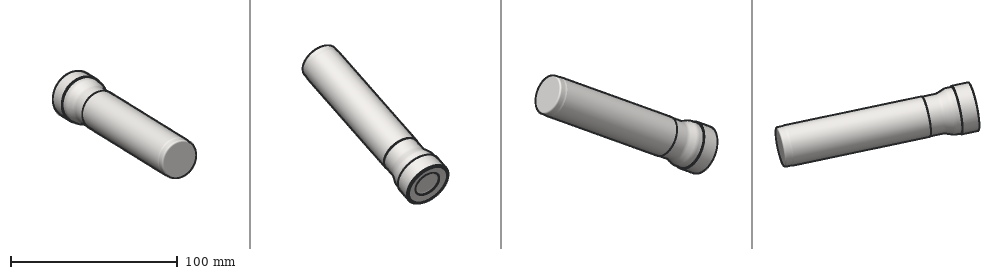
import cadquery as cq
import math

TOTAL_LENGTH = 120.0

INSERT_RADIUS = 30.0 / 2
INSERT_LENGTH = 10.8
EDGE_CHAMFER = 0.4

LAND_INNER_RADIUS = 13.5
STEEP_INNER_RADIUS = 12.8
STEEP_DEPTH = 0.2
LIP_OUTER_RADIUS = 10.0
CONE_DEPTH = 0.2
LIP_INNER_RADIUS = 8.6
LIP_DEPTH = 0.2
WALL_DEPTH = 0.4
CUP_RADIUS = 8.3
CUP_CONE_INNER_RADIUS = 7.4
CUP_FLOOR_RADIUS = 6.7
CUP_ANGLE = math.radians(25)

HEAD_RADIUS = 28.8 / 2
NECK_RADIUS = 24.5 / 2
SHANK_RADIUS = 25.0 / 2
HEAD_END = 13.9
NECK_START = 21.5
BLEND_LENGTH = 1.8
TAPER_ANGLE = math.radians(20.6)
SHANK_START = 29.4
SHANK_FRONT_BEVEL = 0.4
SHANK_END = 114.8
REAR_BEVEL_LENGTH = 1.1
END_ROUND = 1.1


def revolve_about_x(profile):
    """Turn a closed (X, radius) profile into a solid around the X axis."""
    return profile.close().revolve(360, (0, 0, 0), (1, 0, 0))


def make_insert():
    """Disc with bevelled rims and a dished front face."""
    cone_start = STEEP_DEPTH
    lip_start = cone_start + CONE_DEPTH
    wall_start = lip_start + LIP_DEPTH
    cup_start = wall_start + WALL_DEPTH
    floor_round_start = cup_start + (CUP_RADIUS - CUP_CONE_INNER_RADIUS) * math.tan(CUP_ANGLE)
    floor_round_width = CUP_CONE_INNER_RADIUS - CUP_FLOOR_RADIUS
    floor_depth = floor_round_start + floor_round_width * math.tan(CUP_ANGLE / 2)
    cone_direction = (CONE_DEPTH, LIP_OUTER_RADIUS - STEEP_INNER_RADIUS)
    lip_end_direction = (1, -2)
    cup_direction = (math.sin(CUP_ANGLE), -math.cos(CUP_ANGLE))

    profile = (
        cq.Workplane("XY")
        .moveTo(INSERT_LENGTH, 0)
        .lineTo(INSERT_LENGTH, INSERT_RADIUS - EDGE_CHAMFER)
        .lineTo(INSERT_LENGTH - EDGE_CHAMFER, INSERT_RADIUS)
        .lineTo(EDGE_CHAMFER, INSERT_RADIUS)
        .lineTo(0, INSERT_RADIUS - EDGE_CHAMFER)
        .lineTo(0, LAND_INNER_RADIUS)
        .lineTo(cone_start, STEEP_INNER_RADIUS)
        .lineTo(lip_start, LIP_OUTER_RADIUS)
        .spline(
            [(wall_start, LIP_INNER_RADIUS)],
            tangents=[cone_direction, lip_end_direction],
            includeCurrent=True,
        )
        .lineTo(cup_start, CUP_RADIUS)
        .lineTo(floor_round_start, CUP_CONE_INNER_RADIUS)
        .spline([(floor_depth, CUP_FLOOR_RADIUS)], tangents=[cup_direction, (0, -1)], includeCurrent=True)
        .lineTo(floor_depth, 0)
    )
    return revolve_about_x(profile)


def make_holder():
    """Head that tapers through tangent arcs to the neck, then a long bevelled shank."""
    blend_radius = BLEND_LENGTH / math.sin(TAPER_ANGLE)
    blend_drop = blend_radius * (1 - math.cos(TAPER_ANGLE))
    half_angle = TAPER_ANGLE / 2
    half_length = blend_radius * math.sin(half_angle)
    half_drop = blend_radius * (1 - math.cos(half_angle))
    round_offset = END_ROUND * (1 - math.sqrt(0.5))

    profile = (
        cq.Workplane("XY")
        .moveTo(INSERT_LENGTH, 0)
        .lineTo(INSERT_LENGTH, HEAD_RADIUS)
        .lineTo(HEAD_END, HEAD_RADIUS)
        .threePointArc(
            (HEAD_END + half_length, HEAD_RADIUS - half_drop),
            (HEAD_END + BLEND_LENGTH, HEAD_RADIUS - blend_drop),
        )
        .lineTo(NECK_START - BLEND_LENGTH, NECK_RADIUS + blend_drop)
        .threePointArc((NECK_START - half_length, NECK_RADIUS + half_drop), (NECK_START, NECK_RADIUS))
        .lineTo(SHANK_START, NECK_RADIUS)
        .lineTo(SHANK_START + SHANK_FRONT_BEVEL, SHANK_RADIUS)
        .lineTo(SHANK_END, SHANK_RADIUS)
        .lineTo(SHANK_END + REAR_BEVEL_LENGTH, NECK_RADIUS)
        .lineTo(TOTAL_LENGTH - END_ROUND, NECK_RADIUS)
        .threePointArc(
            (TOTAL_LENGTH - round_offset, NECK_RADIUS - round_offset),
            (TOTAL_LENGTH, NECK_RADIUS - END_ROUND),
        )
        .lineTo(TOTAL_LENGTH, 0)
    )
    return revolve_about_x(profile)


insert = make_insert()
holder = make_holder()

result = cq.Compound.makeCompound([insert.val(), holder.val()])